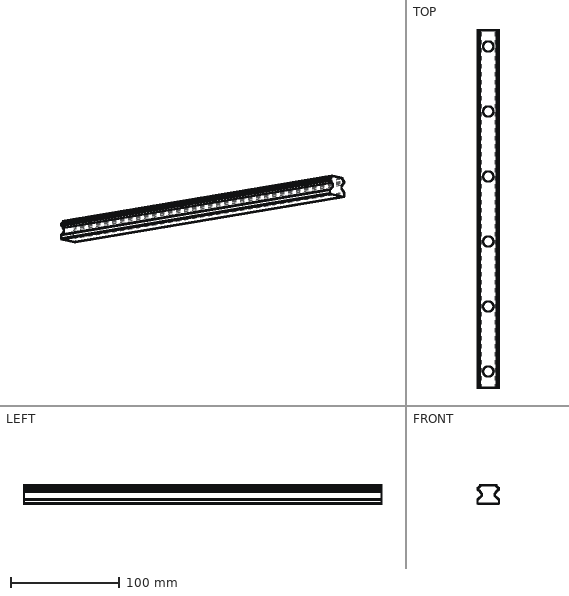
import cadquery as cq
import math

WIDTH = 20.0
LENGTH = 330.0
HEIGHT = 17.5

HEAD_HALF_WIDTH = 7.5
LIP_HEIGHT = 0.65
NOSE_CENTRE = 13.9
NOSE_LAND = 0.9
NOSE_HALF_WIDTH = 9.2
NOSE_SHOULDER = 2.3
GROOVE_SAG = 0.3

WEB_HALF_WIDTH = 6.1
WEB_TOP = 9.5
WEB_BOTTOM = 7.4
WEB_FILLET = 1.2

SHOULDER_HALF_WIDTH = 9.6
SHOULDER_HEIGHT = 4.5
FOOT_EDGE_HEIGHT = 3.8
BASE_CHAMFER = 0.8

RECESS_COUNT = 6
RECESS_PITCH = 60.0
RECESS_DIAMETER = 9.5
RECESS_DEPTH = 0.2


def groove_bottom(start, end):
    """Midpoint of a concave groove arc, set back from its chord towards the middle of the head."""
    chord_x = end[0] - start[0]
    chord_z = end[1] - start[1]
    setback = GROOVE_SAG / math.hypot(chord_x, chord_z)
    middle_x = (start[0] + end[0]) / 2
    middle_z = (start[1] + end[1]) / 2
    return (middle_x - chord_z * setback, middle_z + chord_x * setback)


def half_rail():
    """The half of the rail on the +X side, with rounded corners at the web."""
    half_width = WIDTH / 2
    nose_bottom = NOSE_CENTRE - NOSE_SHOULDER / 2
    nose_top = NOSE_CENTRE + NOSE_SHOULDER / 2
    upper_groove_end = HEIGHT - LIP_HEIGHT
    lower_groove_start = 2 * NOSE_CENTRE - upper_groove_end
    lower_groove = ((HEAD_HALF_WIDTH, lower_groove_start), (NOSE_HALF_WIDTH, nose_bottom))
    upper_groove = ((NOSE_HALF_WIDTH, nose_top), (HEAD_HALF_WIDTH, upper_groove_end))
    profile = (
        cq.Workplane("XZ")
        .lineTo(half_width - BASE_CHAMFER, 0)
        .lineTo(half_width, BASE_CHAMFER)
        .lineTo(half_width, FOOT_EDGE_HEIGHT)
        .lineTo(SHOULDER_HALF_WIDTH, SHOULDER_HEIGHT)
        .lineTo(WEB_HALF_WIDTH, WEB_BOTTOM)
        .lineTo(WEB_HALF_WIDTH, WEB_TOP)
        .lineTo(*lower_groove[0])
        .threePointArc(groove_bottom(*lower_groove), lower_groove[1])
        .lineTo(half_width, NOSE_CENTRE - NOSE_LAND / 2)
        .lineTo(half_width, NOSE_CENTRE + NOSE_LAND / 2)
        .lineTo(*upper_groove[0])
        .threePointArc(groove_bottom(*upper_groove), upper_groove[1])
        .lineTo(HEAD_HALF_WIDTH, HEIGHT)
        .lineTo(0, HEIGHT)
        .close()
    )
    half = profile.extrude(LENGTH / 2, both=True)
    for corner_height in (WEB_BOTTOM, WEB_TOP):
        web_corner = cq.selectors.NearestToPointSelector((WEB_HALF_WIDTH, 0, corner_height))
        half = half.edges(web_corner).fillet(WEB_FILLET)
    return half


def rail_body():
    """Both halves joined into one rail."""
    half = half_rail()
    return half.union(half.mirror("YZ")).clean()


def top_recesses():
    """Cutters for the evenly spaced recesses along the centre line."""
    return (
        cq.Workplane("XY", origin=(0, 0, HEIGHT))
        .rarray(1, RECESS_PITCH, 1, RECESS_COUNT)
        .circle(RECESS_DIAMETER / 2)
        .extrude(-RECESS_DEPTH)
    )


result = rail_body().cut(top_recesses())